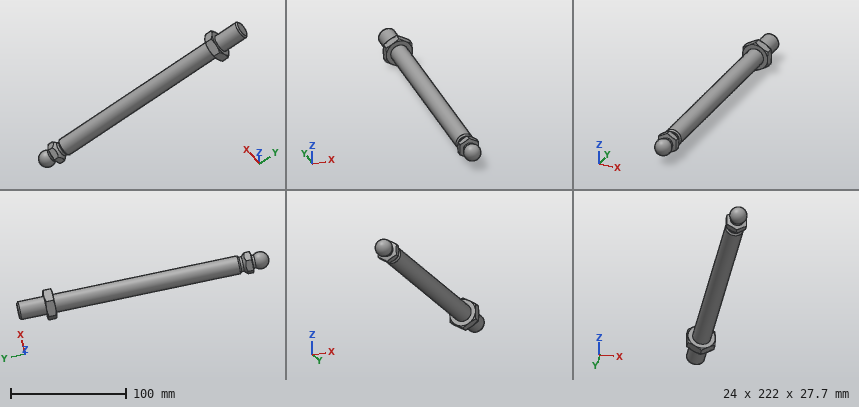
import cadquery as cq
import math

stud_length = 222.0
shaft_diameter = 16.0
end_chamfer = 1.3
ball_diameter = 15.0
neck_diameter = 11.5
groove_diameter = 13.0
groove_front = 23.0
groove_rear = 25.3

stud_hex_flats = 17.0
stud_hex_front = 14.5
stud_hex_front_bevel = 0.9
stud_hex_rear_angle = math.radians(45)

nut_flats = 24.0
nut_thickness = 8.0
nut_setback = 24.0
nut_bevel = 0.9


def corner_radius(flats):
    return flats / math.sqrt(3)


def hexagon_prism(flats, start, length):
    """Hexagonal prism along Y with corners pointing up and down."""
    return (
        cq.Workplane("XZ", origin=(0, start, 0))
        .polygon(6, 2 * corner_radius(flats))
        .extrude(-length)
        .rotate((0, 0, 0), (0, 1, 0), 90)
    )


def revolve_about_y(profile):
    return profile.close().revolve(360, (0, 0, 0), (0, 1, 0))


def make_shaft():
    """Round rod with its end chamfer, and the groove behind the hexagon."""
    shaft_radius = shaft_diameter / 2
    groove_radius = groove_diameter / 2
    shaft_front = groove_rear + shaft_radius - groove_radius
    return revolve_about_y(
        cq.Workplane("XY")
        .moveTo(0, groove_front)
        .lineTo(groove_radius, groove_front)
        .lineTo(groove_radius, groove_rear)
        .lineTo(shaft_radius, shaft_front)
        .lineTo(shaft_radius, stud_length - end_chamfer)
        .lineTo(shaft_radius - end_chamfer, stud_length)
        .lineTo(0, stud_length)
    )


def make_stud_hexagon():
    """Wrench hexagon, bevelled in front and tapering on a cone into the groove."""
    corner = corner_radius(stud_hex_flats)
    groove_radius = groove_diameter / 2
    cone_length = (corner - groove_radius) / math.tan(stud_hex_rear_angle)
    envelope = revolve_about_y(
        cq.Workplane("XY")
        .moveTo(0, stud_hex_front)
        .lineTo(neck_diameter / 2, stud_hex_front)
        .lineTo(corner, stud_hex_front + stud_hex_front_bevel)
        .lineTo(corner, groove_front - cone_length)
        .lineTo(groove_radius, groove_front)
        .lineTo(0, groove_front)
    )
    prism = hexagon_prism(stud_hex_flats, stud_hex_front, groove_front - stud_hex_front)
    return prism.intersect(envelope)


def make_ball_and_neck():
    ball_radius = ball_diameter / 2
    neck_radius = neck_diameter / 2
    ball_rear = ball_radius + math.sqrt(ball_radius**2 - neck_radius**2)
    return revolve_about_y(
        cq.Workplane("XY")
        .moveTo(0, 0)
        .threePointArc((ball_radius, ball_radius), (neck_radius, ball_rear))
        .lineTo(neck_radius, stud_hex_front)
        .lineTo(0, stud_hex_front)
    )


def make_ball_stud():
    return make_shaft().union(make_stud_hexagon()).union(make_ball_and_neck())


def make_lock_nut():
    """Hexagon nut with both faces bevelled, bored to fit the shaft."""
    nut_rear = stud_length - nut_setback
    nut_front = nut_rear - nut_thickness
    corner = corner_radius(nut_flats)
    face_radius = nut_flats / 2
    envelope = revolve_about_y(
        cq.Workplane("XY")
        .moveTo(shaft_diameter / 2, nut_front)
        .lineTo(face_radius, nut_front)
        .lineTo(corner, nut_front + nut_bevel)
        .lineTo(corner, nut_rear - nut_bevel)
        .lineTo(face_radius, nut_rear)
        .lineTo(shaft_diameter / 2, nut_rear)
    )
    return hexagon_prism(nut_flats, nut_front, nut_thickness).intersect(envelope)


ball_stud = make_ball_stud()
lock_nut = make_lock_nut()

result = cq.Compound.makeCompound([ball_stud.val(), lock_nut.val()])